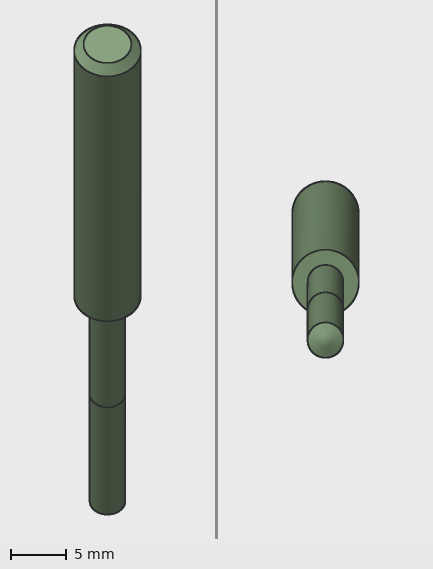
import cadquery as cq
import math

TOTAL_LENGTH = 66.0

SHANK_DIAMETER = 6.0
SHANK_LENGTH = 36.0
SHANK_CHAMFER = 0.85

DRILL_DIAMETER = 3.25
CUTTING_LENGTH = 16.0
POINT_ANGLE = 140.0

shank_radius = SHANK_DIAMETER / 2
drill_radius = DRILL_DIAMETER / 2
shank_bottom = TOTAL_LENGTH - SHANK_LENGTH
point_height = drill_radius / math.tan(math.radians(POINT_ANGLE / 2))


def make_holder():
    """Chamfered shank with the plain neck below it, ending where the cutting part starts."""
    return (
        cq.Workplane("XZ")
        .moveTo(0, CUTTING_LENGTH)
        .lineTo(drill_radius, CUTTING_LENGTH)
        .lineTo(drill_radius, shank_bottom)
        .lineTo(shank_radius, shank_bottom)
        .lineTo(shank_radius, TOTAL_LENGTH - SHANK_CHAMFER)
        .lineTo(shank_radius - SHANK_CHAMFER, TOTAL_LENGTH)
        .lineTo(0, TOTAL_LENGTH)
        .close()
        .revolve(360, (0, 0, 0), (0, 1, 0))
    )


def make_cutting_part():
    """Cylindrical cutting part with a conical point, butting against the neck."""
    return (
        cq.Workplane("XZ")
        .moveTo(0, 0)
        .lineTo(drill_radius, point_height)
        .lineTo(drill_radius, CUTTING_LENGTH)
        .lineTo(0, CUTTING_LENGTH)
        .close()
        .revolve(360, (0, 0, 0), (0, 1, 0))
    )


holder = make_holder()
cutting_part = make_cutting_part()

result = cq.Compound.makeCompound([holder.val(), cutting_part.val()])